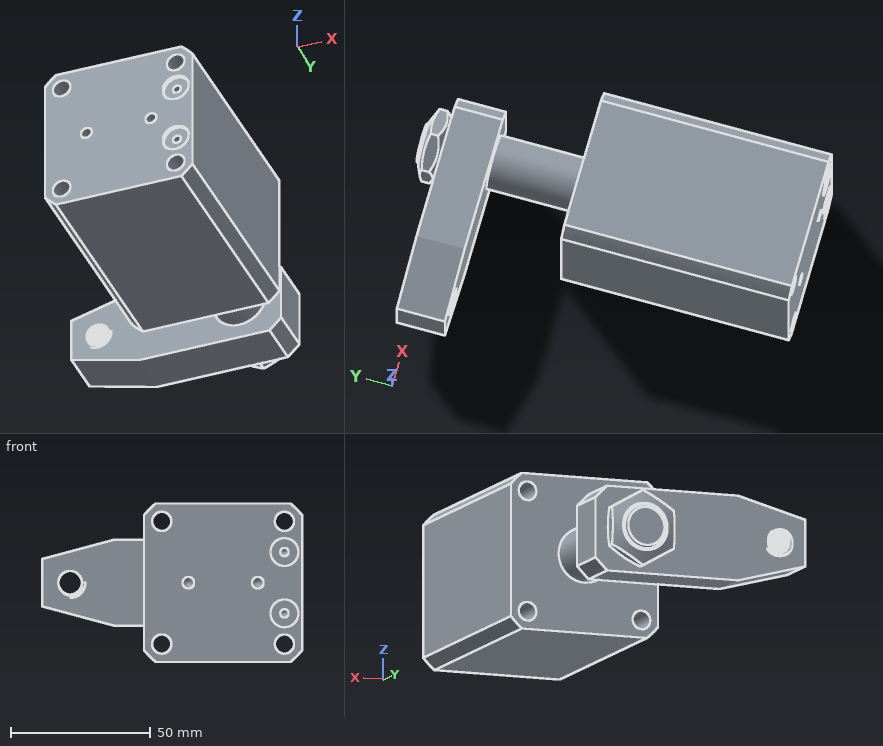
import cadquery as cq
import math

OVERALL_LENGTH = 145.0
OVERALL_WIDTH = 93.5

HOUSING_SIDE = 57.0
HOUSING_LENGTH = 85.0
CORNER_TURN_RADIUS = 37.4
BOLT_HOLE_DIA = 6.8
BOLT_SPACING = 44.1
TAPPED_HOLE_DIA = 4.2
TAPPED_HOLE_SPACING = 25.0
BLIND_HOLE_DEPTH = 12.0
DRILL_TIP_ANGLE = 118.0
PORT_DIA = 3.0
PORT_SPACING = BOLT_SPACING / 2
PORT_RECESS_DIA = 10.0
PORT_RECESS_DEPTH = 1.2

ROD_DIA = 20.0
STUD_DIA = 16.0
STUD_CHAMFER = 1.0

ARM_START = 118.0
ARM_THICKNESS = 18.0
ARM_END = ARM_START + ARM_THICKNESS
ARM_TIP_X = HOUSING_SIDE / 2 - OVERALL_WIDTH
ARM_SHOULDER_X = -39.0
ARM_BACK_X = 16.1
ARM_WIDTH = 31.0
ARM_TIP_WIDTH = 17.1
ARM_BACK_CHAMFER = 4.5

THREAD_X = -55.0
THREAD_MINOR_RADIUS = 4.2
THREAD_MAJOR_RADIUS = 5.5
THREAD_PITCH = 1.5
THREAD_BASE_WIDTH = 1.3
THREAD_OVERLAP = 0.1

NUT_ACROSS_FLATS = 23.9
NUT_TURN = 30.0
NUT_HEIGHT = 8.0
NUT_SEAT_DIA = 20.0
NUT_TOP_DIA = 17.3
NUT_SEAT_BEVEL = 2.9
NUT_TOP_BEVEL = 2.3


def section_at(y):
    """XZ workplane at position y along the clamp axis; positive extrusions go toward -Y."""
    return cq.Workplane(cq.Plane(origin=(0, y, 0), xDir=(1, 0, 0), normal=(0, -1, 0)))


def cylinder(diameter, y_start, y_end, x=0, z=0):
    """Solid cylinder parallel to the Y axis."""
    return section_at(y_start).center(x, z).circle(diameter / 2).extrude(y_start - y_end)


def drilled_hole(diameter, x, z):
    """Cutter for a blind hole in the mounting face with a conical drill tip."""
    radius = diameter / 2
    tip_length = radius / math.tan(math.radians(DRILL_TIP_ANGLE / 2))
    profile = [(0, 0), (radius, 0), (radius, BLIND_HOLE_DEPTH), (0, BLIND_HOLE_DEPTH + tip_length)]
    cutter = cq.Workplane("XY").polyline(profile).close().revolve(360, (0, 0), (0, 1))
    return cutter.translate((x, 0, z))


def make_housing():
    """Square block with turned corners, bolt holes, tapped holes and recessed ports."""
    block = section_at(0).rect(HOUSING_SIDE, HOUSING_SIDE).extrude(-HOUSING_LENGTH)
    housing = block.intersect(cylinder(2 * CORNER_TURN_RADIUS, 0, HOUSING_LENGTH))
    bolt_offset = BOLT_SPACING / 2

    for x in (-bolt_offset, bolt_offset):
        for z in (-bolt_offset, bolt_offset):
            housing = housing.cut(cylinder(BOLT_HOLE_DIA, 0, HOUSING_LENGTH, x, z))

    for side in (-1, 1):
        housing = housing.cut(drilled_hole(TAPPED_HOLE_DIA, side * TAPPED_HOLE_SPACING / 2, 0))
        port_z = side * PORT_SPACING / 2
        housing = housing.cut(cylinder(PORT_RECESS_DIA, 0, PORT_RECESS_DEPTH, bolt_offset, port_z))
        housing = housing.cut(drilled_hole(PORT_DIA, bolt_offset, port_z))
    return housing


def make_rod():
    """Clamp rod that shoulders against the arm and carries a stud for the nut."""
    shank = cylinder(ROD_DIA, HOUSING_LENGTH, ARM_START)
    stud = cylinder(STUD_DIA, ARM_START, OVERALL_LENGTH).faces(">Y").chamfer(STUD_CHAMFER)
    return shank.union(stud)


def make_thread_cutter():
    """Right-handed helical V ridge that starts at the front face of the arm on its +X side."""
    root = THREAD_MINOR_RADIUS - THREAD_OVERLAP
    half_base = THREAD_BASE_WIDTH / 2
    helix = cq.Wire.makeHelix(THREAD_PITCH, ARM_THICKNESS + THREAD_PITCH, root)
    profile = [(root, -half_base), (THREAD_MAJOR_RADIUS, 0), (root, half_base)]
    ridge = cq.Workplane("XZ").polyline(profile).close().sweep(cq.Workplane(obj=helix), isFrenet=True)
    return ridge.rotate((0, 0, 0), (1, 0, 0), -90).translate((THREAD_X, ARM_START, 0))


def make_arm():
    """Tapered clamp arm with a clearance hole for the stud and a threaded hole at its tip."""
    half_width = ARM_WIDTH / 2
    half_tip = ARM_TIP_WIDTH / 2
    upper_outline = [
        (ARM_TIP_X, half_tip),
        (ARM_SHOULDER_X, half_width),
        (ARM_BACK_X - ARM_BACK_CHAMFER, half_width),
        (ARM_BACK_X, half_width - ARM_BACK_CHAMFER),
    ]
    lower_outline = [(x, -z) for x, z in reversed(upper_outline)]
    arm = section_at(ARM_START).polyline(upper_outline + lower_outline).close().extrude(-ARM_THICKNESS)
    arm = arm.cut(cylinder(STUD_DIA, ARM_START, ARM_END))
    arm = arm.cut(make_thread_cutter())
    return arm.cut(cylinder(2 * THREAD_MINOR_RADIUS, ARM_START, ARM_END, THREAD_X))


def make_nut():
    """Thin hexagon nut, bevelled on both faces, with flats facing +X and -X."""
    corner_radius = NUT_ACROSS_FLATS / math.sqrt(3)
    nut_top = ARM_END + NUT_HEIGHT
    hexagon = section_at(ARM_END).transformed(rotate=(0, 0, NUT_TURN)).polygon(6, 2 * corner_radius)
    hexagon = hexagon.extrude(-NUT_HEIGHT)
    bevel_profile = [
        (0, ARM_END),
        (NUT_SEAT_DIA / 2, ARM_END),
        (corner_radius, ARM_END + NUT_SEAT_BEVEL),
        (corner_radius, nut_top - NUT_TOP_BEVEL),
        (NUT_TOP_DIA / 2, nut_top),
        (0, nut_top),
    ]
    envelope = cq.Workplane("XY").polyline(bevel_profile).close().revolve(360, (0, 0), (0, 1))
    return hexagon.intersect(envelope).cut(cylinder(STUD_DIA, ARM_END, nut_top))


housing = make_housing()
rod = make_rod()
arm = make_arm()
nut = make_nut()

result = cq.Compound.makeCompound([housing.val(), rod.val(), arm.val(), nut.val()])